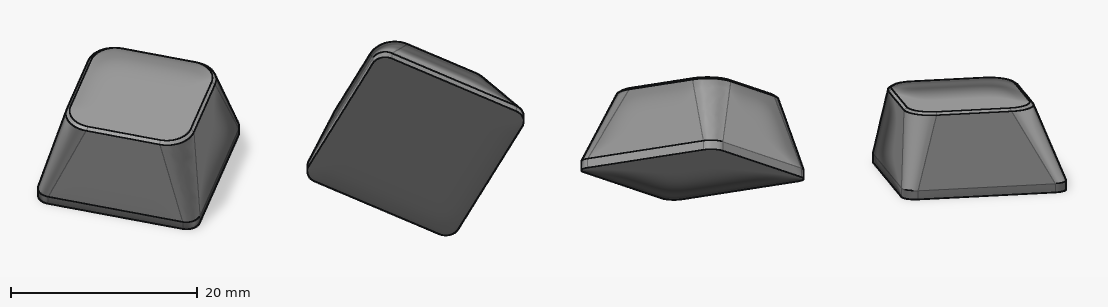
import cadquery as cq

base_width = 18.0
base_corner_radius = 1.5
skirt_height = 1.0

total_height = 9.0
top_width = 14.0
top_corner_radius = 3.0
top_shift_y = 1.0

bevel_inset = 0.3
bevel_height = 0.28


def rounded_square(width, corner_radius, center_y, z):
    outline = cq.Sketch().rect(width, width).vertices().fillet(corner_radius)
    return outline.moved(cq.Location(cq.Vector(0, center_y, z)))


def tapered_section(z):
    """Outline of the sloping sides at height z, blended from base to sharp top."""
    blend = (z - skirt_height) / (total_height - skirt_height)
    width = base_width + blend * (top_width - base_width)
    corner_radius = base_corner_radius + blend * (top_corner_radius - base_corner_radius)
    return rounded_square(width, corner_radius, blend * top_shift_y, z)


def make_skirt():
    outline = rounded_square(base_width, base_corner_radius, 0, 0)
    return cq.Workplane("XY").placeSketch(outline).extrude(skirt_height)


def make_tapered_body():
    """Sloping sides, closed by the bevel that leads to the flat top face."""
    bottom = tapered_section(skirt_height)
    shoulder = tapered_section(total_height - bevel_height)
    top_face = rounded_square(
        top_width - 2 * bevel_inset,
        top_corner_radius - bevel_inset,
        top_shift_y,
        total_height,
    )
    return cq.Workplane("XY").placeSketch(bottom, shoulder, top_face).loft(ruled=True)


result = make_skirt().union(make_tapered_body())